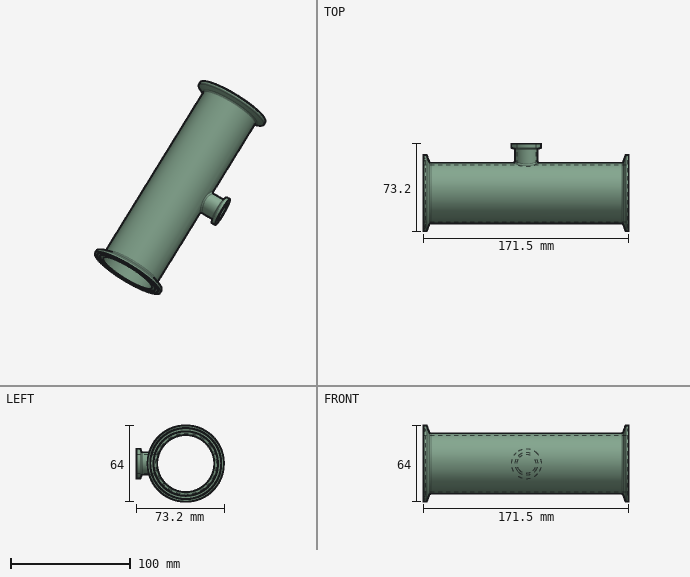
import cadquery as cq
import math

length = 171.5
tube_outer_radius = 50.7 / 2
tube_bore_radius = 47.5 / 2

flange_radius = 64.0 / 2
flange_rim = 2.7
flange_edge_round = 0.7
flange_neck_round = 1.2

groove_radius = 28.3
groove_width = 2.4
groove_depth = 1.4
groove_lip_bevel = 0.3

overall_depth = 73.2
branch_end = overall_depth - flange_radius
branch_outer_radius = 19.0 / 2
branch_bore_radius = 15.8 / 2
branch_flange_radius = 25.0 / 2
branch_rim = 3.5
branch_edge_round = 0.3
branch_neck_round = 0.3
weld_round = 1.4

cone_angle = math.radians(20)


def clamp_ended_rod(rod_radius, rod_length, rim_radius, rim, edge_round, neck_round):
    """Solid rod along +Z that starts on the XY plane with a conical-backed clamp flange."""
    cone_end = rim + (rim_radius - rod_radius) * math.tan(cone_angle)
    rod = (
        cq.Workplane("XZ")
        .lineTo(rim_radius, 0)
        .lineTo(rim_radius, rim)
        .lineTo(rod_radius, cone_end)
        .lineTo(rod_radius, rod_length)
        .lineTo(0, rod_length)
        .close()
        .revolve(360, (0, 0, 0), (0, 1, 0))
    )
    rod = rod.edges(cq.selectors.RadiusNthSelector(-1)).edges(">Z").fillet(edge_round)
    return rod.edges(cq.selectors.RadiusNthSelector(0)).edges("<Z").fillet(neck_round)


def gasket_groove():
    """Ring cutter for a round-bottomed, bevel-lipped groove in a face on the XY plane."""
    half_width = groove_width / 2
    half_mouth = half_width + groove_lip_bevel
    ring = (
        cq.Workplane("XZ")
        .moveTo(groove_radius - half_mouth, 0)
        .lineTo(groove_radius - half_width, groove_lip_bevel)
        .threePointArc((groove_radius, groove_depth), (groove_radius + half_width, groove_lip_bevel))
        .lineTo(groove_radius + half_mouth, 0)
        .close()
    )
    return ring.revolve(360, (0, 0, 0), (0, 1, 0))


half_tube = clamp_ended_rod(
    tube_outer_radius, length / 2, flange_radius, flange_rim, flange_edge_round, flange_neck_round
)
half_tube = half_tube.cut(gasket_groove()).rotate((0, 0, 0), (0, 1, 0), 90).translate((-length / 2, 0, 0))
tube = half_tube.union(half_tube.mirror("YZ"))

branch = clamp_ended_rod(
    branch_outer_radius, branch_end, branch_flange_radius, branch_rim, branch_edge_round, branch_neck_round
)
branch = branch.rotate((0, 0, 0), (1, 0, 0), 90).translate((0, branch_end, 0))

saddle_region = cq.selectors.BoxSelector(
    (-branch_flange_radius, 0, -branch_flange_radius),
    (branch_flange_radius, tube_outer_radius + weld_round, branch_flange_radius),
    boundingbox=True,
)
body = tube.union(branch).edges(saddle_region).fillet(weld_round)

tube_bore = cq.Workplane("YZ").circle(tube_bore_radius).extrude(length / 2, both=True)
branch_bore = cq.Workplane("XZ").circle(branch_bore_radius).extrude(-branch_end)
result = body.cut(tube_bore).cut(branch_bore)